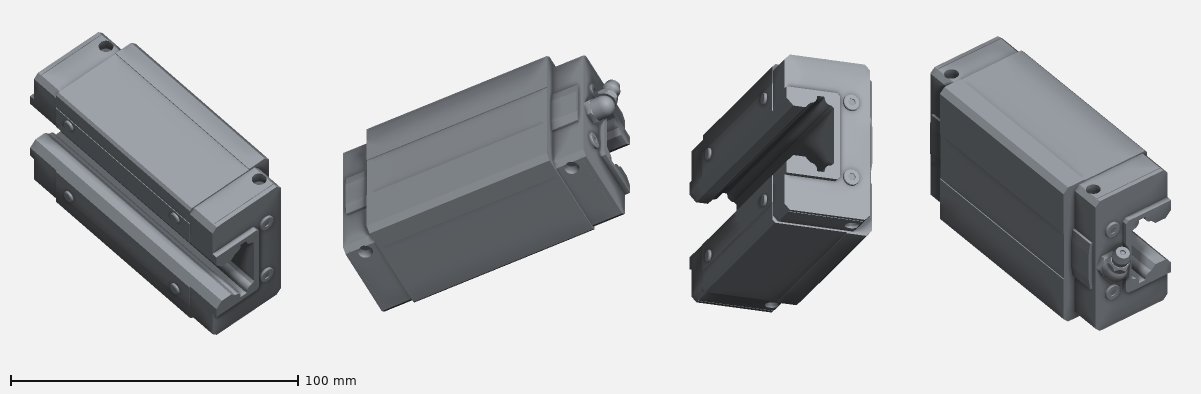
import cadquery as cq
import math


mid_x = 4.7
block_length = 70.4
caps_length = 94.0
seals_length = 98.1
left_face_x = mid_x - caps_length / 2

block_top_y = 19.0
block_foot_y = -18.0
block_edge_y = -17.8
block_half_z = 30.0
block_side_z = 29.7
shoulder_y = 9.8
block_top_chamfer = 2.0
block_bottom_chamfer = 1.0
foot_half_z = 22.2
top_relief_half_z = 10.1
top_relief_depth = 0.3

cap_top_y = 14.1
cap_bottom_y = -17.6
cap_half_z = 29.0
cap_chamfer = 1.9
ridge_half_z = 10.2
ridge_flat_half_z = 5.7
ridge_edge_y = 15.1
ridge_top_y = 15.7
ridges_length = 90.4
groove_width = 0.3
groove_depth = 0.2
side_hole_diameter = 5.2
side_hole_depth = 4.3
side_hole_y = 9.9
side_hole_spacing = 80.7

seal_top_y = 2.2
seal_half_z = 16.1
seal_chamfer = 1.1

channel_floor_y = -0.1
channel_corner_z = 10.3
channel_lip_z = 11.2
channel_wide_z = 14.1
channel_narrow_z = 9.3
channel_mouth_z = 11.8
peak_center_y = -5.0
peak_half_width = 1.4
bump_radius = 2.5
jaw_start_y = -10.8
jaw_end_y = -15.2
mouth_overcut = 1.1

screw_head_diameter = 6.0
screw_head_height = 1.0
screw_head_chamfer = 0.2
screw_y = 7.0
screw_z = 14.0
socket_corner_diameter = 2.8
socket_depth = 0.4

button_diameter = 4.4
button_tip_y = -18.9
button_chamfer = 0.3
button_spacing_x = 56.0
button_z = 19.0

fitting_y = 9.1
elbow_x = -47.7
elbow_diameter = 8.0
flange_corner_diameter = 9.5
flange_thickness = 2.0
flange_chamfer = 0.5
nipple_tilt = 20.0
nipple_tip = 11.1
nipple_tip_diameter = 5.0
nipple_ball = 8.5
nipple_ball_diameter = 6.7
nipple_shoulder = 7.6
nipple_shoulder_diameter = 6.5
nipple_neck = 7.0
nipple_neck_diameter = 5.7
nut_top = 6.0
nut_top_diameter = 6.2
nut_cone_angle = 30.0
nut_flats = 7.0
nut_bottom = 3.0
nut_bottom_chamfer_height = 0.8
bore_diameter = 2.2
valve_dome_height = 0.5


def extrude_section(section, length):
    """Extrude a YZ section along X, centred on the carriage."""
    return section.extrude(length / 2, both=True)


def section_plane():
    return cq.Workplane("YZ", origin=(mid_x, 0, 0))


def mirrored_section(half_points):
    """Closed YZ section from the points of its +Z half, in order from top to bottom."""
    other_half = [(y, -z) for y, z in reversed(half_points)]
    return section_plane().polyline(half_points + other_half).close()


def make_block():
    half = [
        (block_top_y - top_relief_depth, top_relief_half_z),
        (block_top_y, top_relief_half_z),
        (block_top_y, block_half_z - block_top_chamfer),
        (block_top_y - block_top_chamfer, block_half_z),
        (shoulder_y, block_half_z),
        (shoulder_y, block_side_z),
        (block_edge_y + block_bottom_chamfer, block_side_z),
        (block_edge_y, block_side_z - block_bottom_chamfer),
        (block_edge_y, foot_half_z),
        (block_foot_y, foot_half_z),
    ]
    return extrude_section(mirrored_section(half), block_length)


def make_caps():
    """Both end caps as one bar that passes through the block."""
    half = [
        (cap_top_y, cap_half_z - cap_chamfer),
        (cap_top_y - cap_chamfer, cap_half_z),
        (cap_bottom_y + cap_chamfer, cap_half_z),
        (cap_bottom_y, cap_half_z - cap_chamfer),
    ]
    caps = extrude_section(mirrored_section(half), caps_length)
    ridge_half = [
        (ridge_top_y, ridge_flat_half_z),
        (ridge_edge_y, ridge_half_z),
        (0, ridge_half_z),
    ]
    return caps.union(extrude_section(mirrored_section(ridge_half), ridges_length))


def make_seals():
    """Both end seals as one bar that passes through the caps."""
    half = [
        (seal_top_y, seal_half_z - seal_chamfer),
        (seal_top_y - seal_chamfer, seal_half_z),
        (cap_bottom_y, seal_half_z),
    ]
    return extrude_section(mirrored_section(half), seals_length)


def make_channel():
    """Rail channel with quarter-round bumps that run in the ball grooves of the rail."""
    open_y = block_foot_y - mouth_overcut
    open_z = channel_mouth_z + cap_bottom_y - open_y
    bump_offset = peak_half_width + bump_radius
    bump_center_z = channel_lip_z + bump_radius
    arc_mid_offset = bump_offset - bump_radius * math.sqrt(0.5)
    arc_mid_z = bump_center_z - bump_radius * math.sqrt(0.5)
    section = (
        section_plane()
        .moveTo(channel_floor_y, 0)
        .lineTo(channel_floor_y, channel_corner_z)
        .lineTo(peak_center_y + bump_offset, channel_lip_z)
        .threePointArc(
            (peak_center_y + arc_mid_offset, arc_mid_z),
            (peak_center_y + peak_half_width, bump_center_z),
        )
        .lineTo(peak_center_y + peak_half_width, channel_wide_z)
        .lineTo(peak_center_y - peak_half_width, channel_wide_z)
        .lineTo(peak_center_y - peak_half_width, bump_center_z)
        .threePointArc(
            (peak_center_y - arc_mid_offset, arc_mid_z),
            (peak_center_y - bump_offset, channel_lip_z),
        )
        .lineTo(jaw_start_y, channel_narrow_z)
        .lineTo(jaw_end_y, channel_narrow_z)
        .lineTo(cap_bottom_y, channel_mouth_z)
        .lineTo(open_y, open_z)
        .lineTo(open_y, 0)
        .close()
    )
    half = extrude_section(section, seals_length)
    return half.union(half.mirror("XY"))


def make_end_grooves():
    """Shallow grooves across the +Z and -Z sides of the caps, just beyond the ridges."""
    grooves = cq.Workplane("XY")
    groove_height = cap_top_y - cap_bottom_y
    for end in (-1, 1):
        for side in (-1, 1):
            center_x = mid_x + end * (ridges_length + groove_width) / 2
            center_y = (cap_top_y + cap_bottom_y) / 2
            groove = cq.Workplane("XY").box(groove_width, groove_height, 2 * groove_depth)
            grooves = grooves.add(groove.translate((center_x, center_y, side * cap_half_z)))
    return grooves.combine()


def make_side_holes():
    """Blind holes in the +Z and -Z sides of the end caps."""
    holes = cq.Workplane("XY")
    for end in (-1, 1):
        center_x = mid_x + end * side_hole_spacing / 2
        hole = (
            cq.Workplane("XY", origin=(center_x, side_hole_y, cap_half_z - side_hole_depth))
            .circle(side_hole_diameter / 2)
            .extrude(side_hole_depth)
        )
        holes = holes.add(hole).add(hole.mirror("XY"))
    return holes.combine()


def make_cap_screws():
    """Socket screw heads standing on both end faces."""
    head = (
        cq.Workplane("YZ")
        .circle(screw_head_diameter / 2)
        .extrude(screw_head_height)
        .faces(">X")
        .chamfer(screw_head_chamfer)
        .faces(">X")
        .workplane()
        .polygon(6, socket_corner_diameter)
        .cutBlind(-socket_depth)
        .translate((mid_x + caps_length / 2, screw_y, screw_z))
    )
    heads = head.union(head.mirror("XY"))
    return heads.union(heads.mirror("YZ", (mid_x, 0, 0)))


def make_buttons():
    """Chamfered round buttons on the underside of the block."""
    return (
        cq.Workplane("XZ", origin=(mid_x, block_foot_y, 0))
        .rect(button_spacing_x, 2 * button_z, forConstruction=True)
        .vertices()
        .circle(button_diameter / 2)
        .extrude(block_foot_y - button_tip_y)
        .faces("<Y")
        .chamfer(button_chamfer)
    )


def make_carriage():
    body = make_block().union(make_caps()).union(make_seals())
    body = body.cut(make_channel()).cut(make_end_grooves()).cut(make_side_holes())
    return body.union(make_cap_screws()).union(make_buttons())


def make_flange():
    """Hexagonal foot of the fitting, its outer corners turned off."""
    hexagon = cq.Workplane("YZ").polygon(6, flange_corner_diameter).extrude(-flange_thickness)
    turned = (
        cq.Workplane("YZ")
        .circle(flange_corner_diameter / 2)
        .extrude(-flange_thickness)
        .faces("<X")
        .chamfer(flange_chamfer)
    )
    return hexagon.intersect(turned).translate((left_face_x, fitting_y, 0))


def make_elbow():
    """Round neck along X that ends in a ball."""
    neck = (
        cq.Workplane("YZ", origin=(elbow_x, fitting_y, 0))
        .circle(elbow_diameter / 2)
        .extrude(left_face_x - elbow_x)
    )
    ball = cq.Workplane("XY", origin=(elbow_x, fitting_y, 0)).sphere(elbow_diameter / 2)
    return neck.union(ball)


def make_nipple():
    """Domed-valve nipple with a hexagonal nut, its foot sunk in the ball, leaning toward -X."""
    nut_corner_radius = nut_flats / 2 / math.cos(math.pi / 6)
    cone_slope = math.tan(math.radians(nut_cone_angle))
    valve_dome_radius = ((bore_diameter / 2) ** 2 + valve_dome_height**2) / (2 * valve_dome_height)
    nut_side_bottom = nut_bottom + nut_bottom_chamfer_height
    nut_side_top = nut_top - (nut_corner_radius - nut_top_diameter / 2) / cone_slope
    turned = (
        cq.Workplane("XZ")
        .moveTo(0, nut_bottom)
        .lineTo(nut_flats / 2, nut_bottom)
        .lineTo(nut_corner_radius, nut_side_bottom)
        .lineTo(nut_corner_radius, nut_side_top)
        .lineTo(nut_top_diameter / 2, nut_top)
        .lineTo(nipple_neck_diameter / 2, nut_top)
        .lineTo(nipple_neck_diameter / 2, nipple_neck)
        .threePointArc(
            (nipple_shoulder_diameter / 2, nipple_shoulder),
            (nipple_ball_diameter / 2, nipple_ball),
        )
        .lineTo(nipple_tip_diameter / 2, nipple_tip)
        .lineTo(bore_diameter / 2, nipple_tip)
        .lineTo(bore_diameter / 2, nipple_tip - valve_dome_height)
        .radiusArc((0, nipple_tip), -valve_dome_radius)
        .close()
        .revolve(360, (0, 0), (0, 1))
    )
    hexagon = cq.Workplane("XY").polygon(6, 2 * nut_corner_radius).extrude(nipple_tip)
    nipple = turned.intersect(hexagon)
    return nipple.rotate((0, 0, 0), (0, 1, 0), -nipple_tilt).translate((elbow_x, fitting_y, 0))


def make_fitting():
    return make_flange().union(make_elbow()).union(make_nipple())


carriage = make_carriage()
fitting = make_fitting()

result = cq.Compound.makeCompound([carriage.val(), fitting.val()])